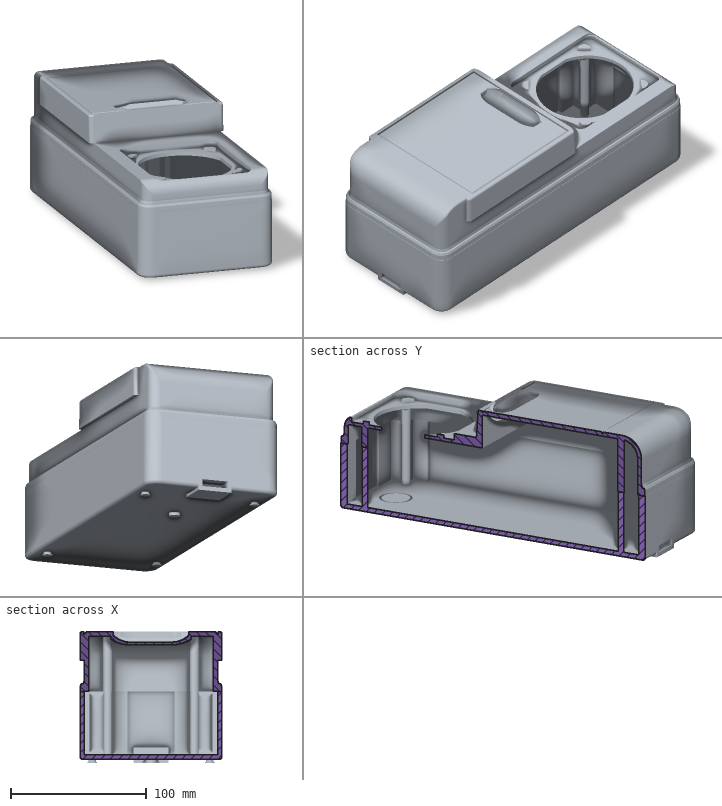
import cadquery as cq
import math

LENGTH = 258.0
WIDTH = 105.0
CORNER_R = 10.3
WALL = 3.5

BASE_BOTTOM = 2.3
FLOOR_TOP = 6.2
PARTING = 52.6
RIM_SIDE_TOP = 56.8
SHELF = 58.5
SHELF_BAND_TOP = 60.6
DECK = 75.3
TOP = 96.8
HANDLE_TOP = 100.0

BASE_EDGE_R = 2.5
TAB_LENGTH = 24.5
TAB_WIDTH = 26.0
TAB_TOP = 5.0
SLOT_WIDTH = 20.0
SLOT_BOTTOM = 3.0
SLOT_HEIGHT = 5.2
SLOT_DEPTH = 13.0
SLOT_WALL = 3.0
FOOT_X = 98.5
FOOT_Y = 43.3
FOOT_R = 3.5
FOOT_NECK_R = 2.8
FOOT_FLANGE = 0.8
STUD_X = -47.2
STUD_R = 4.0
PILLAR_X = 110.0
PILLAR_Y = 35.0
SIDE_RIB_START = 97.8
SIDE_RIB_THICKNESS = 3.5
END_RIB_START = 17.3
END_RIB_THICKNESS = 2.3
POST_X = 108.4
POST_Y = 32.0
POST_R = 3.0
COVER_POST_R = 3.4
RING_X = 99.0
RING_OUTER_R = 12.5
RING_INNER_R = 10.5
RING_DEPTH = 1.0

RIM_INSET = 0.3
COVER_INSET = 3.0
SHELF_BAND = 0.8
BACK_ROUND_R = 16.5
FRONT_ROUND_R = 10.3
TOP_EDGE_R = 1.5
LOW_CEILING = 67.5
HEAD_FRONT_TOP = 12.6
HEAD_FRONT_BOTTOM = 14.2
FLARE_START = -100.0
FLARE_END = -96.8
FLARE_SHOULDER = 50.3
HEAD_CORNER_R = 3.0

PANEL_BACK = -93.1
PANEL_FRONT = 9.0
PANEL_WIDTH = 98.5
GROOVE_DEPTH = 1.5
GROOVE_ANGLE = 45

SCOOP_X = -2.5
SCOOP_R = 8.0
SCOOP_END_R = 3.75
SCOOP_STRAIGHT = 15.1
SCOOP_HALF = 27.5
SCOOP_SHELL = 2.3
RIDGE_BACK = 1.3
RIDGE_FRONT = 7.5
RIDGE_HALF = 28.6
RIDGE_PEAK = 5.0
RIDGE_TOP_HALF = 17.8

RECESS_BACK = 33.0
RECESS_FRONT = 119.2
LEDGE_FRONT = 120.7
LEDGE_Z = 73.8
RECESS_WIDTH = 75.5
RECESS_R = 6.2
RECESS_FLOOR = 70.5
OPENING_X = 75.9
OPENING_LENGTH = 74.3
OPENING_WIDTH = 64.5
OPENING_R = 33.5
PAD_OFFSET_X = 29.5
PAD_OFFSET_Y = 29.5
PAD_R = 5.0
PAD_HEIGHT = 2.3

COVER_HALF_X = LENGTH / 2 - COVER_INSET
COVER_HALF_Y = WIDTH / 2 - COVER_INSET

ARC_MIDDLE = math.sqrt(0.5)

CORNERS = [(sx, sy) for sx in (-1, 1) for sy in (-1, 1)]


def box(x0, x1, y0, y1, z0, z1):
    """Box between two opposite corners."""
    return cq.Workplane("XY").box(x1 - x0, y1 - y0, z1 - z0, centered=False).translate((x0, y0, z0))


def corner_box(sx, sy, x0, x1, y0, y1, z0, z1):
    """Box in the +X +Y quarter, reflected into the quarter with signs sx, sy."""
    return box(*sorted((sx * x0, sx * x1)), *sorted((sy * y0, sy * y1)), z0, z1)


def cylinder(x, y, radius, z0, z1):
    return cq.Workplane("XY", origin=(x, y, z0)).circle(radius).extrude(z1 - z0)


def rounded_block(inset, z0, z1):
    """Block with the housing's plan outline, moved inwards by inset."""
    block = cq.Workplane("XY", origin=(0, 0, z0)).rect(LENGTH - 2 * inset, WIDTH - 2 * inset)
    return block.extrude(z1 - z0).edges("|Z").fillet(CORNER_R - inset)


def sloped_band(inset_bottom, inset_top, z0, z1):
    """Band of the plan outline that narrows upwards."""
    taper = math.degrees(math.atan2(inset_top - inset_bottom, z1 - z0))
    plan = cq.Sketch().rect(LENGTH - 2 * inset_bottom, WIDTH - 2 * inset_bottom)
    plan = plan.vertices().fillet(CORNER_R - inset_bottom)
    return cq.Workplane("XY", origin=(0, 0, z0)).placeSketch(plan).extrude(z1 - z0, taper=taper)


def base_foot(x, y):
    flange = cylinder(x, y, FOOT_R, 0, FOOT_FLANGE)
    neck = cylinder(x, y, FOOT_NECK_R, FOOT_FLANGE, BASE_BOTTOM)
    return flange.union(neck)


def corner_supports(sx, sy):
    """Corner pillar with a rib along each wall, and the free-standing screw post."""
    inner_x = LENGTH / 2 - WALL
    inner_y = WIDTH / 2 - WALL
    wall_x = LENGTH / 2 - WALL / 2
    wall_y = WIDTH / 2 - WALL / 2
    heights = (BASE_BOTTOM + BASE_EDGE_R, PARTING)
    pillar = corner_box(sx, sy, PILLAR_X, inner_x, PILLAR_Y, inner_y, *heights)
    side_rib = corner_box(sx, sy, SIDE_RIB_START, PILLAR_X, inner_y - SIDE_RIB_THICKNESS, wall_y, *heights)
    end_rib = corner_box(sx, sy, inner_x - END_RIB_THICKNESS, wall_x, END_RIB_START, PILLAR_Y, *heights)
    post = cylinder(sx * POST_X, sy * POST_Y, POST_R, *heights)
    return pillar.union(side_rib).union(end_rib).union(post)


def make_base():
    outer = rounded_block(0, BASE_BOTTOM, PARTING).faces("<Z").edges().fillet(BASE_EDGE_R)
    base = outer.cut(rounded_block(WALL, FLOOR_TOP, PARTING))
    for sx, sy in CORNERS:
        base = base.union(corner_supports(sx, sy).intersect(outer))
        base = base.union(base_foot(sx * FOOT_X, sy * FOOT_Y))
    base = base.union(cylinder(STUD_X, 0, STUD_R, 0, BASE_BOTTOM))

    back = -LENGTH / 2
    base = base.union(box(back, back + TAB_LENGTH, -TAB_WIDTH / 2, TAB_WIDTH / 2, 0, TAB_TOP))
    slot_top = SLOT_BOTTOM + SLOT_HEIGHT
    pocket_end = back + SLOT_DEPTH + SLOT_WALL
    pocket_top = slot_top + SLOT_WALL
    base = base.union(box(back + WALL, pocket_end, -TAB_WIDTH / 2, TAB_WIDTH / 2, FLOOR_TOP, pocket_top))
    base = base.cut(box(back, back + SLOT_DEPTH, -SLOT_WIDTH / 2, SLOT_WIDTH / 2, SLOT_BOTTOM, slot_top))

    ring = cq.Workplane("XY", origin=(RING_X, 0, FLOOR_TOP)).circle(RING_OUTER_R).circle(RING_INNER_R)
    return base.cut(ring.extrude(-RING_DEPTH))


def cover_shell():
    """Stepped cover with a raised head at the back, open at the bottom."""
    back_x = -COVER_HALF_X + BACK_ROUND_R
    back_z = TOP - BACK_ROUND_R
    front_x = COVER_HALF_X - FRONT_ROUND_R
    front_z = DECK - FRONT_ROUND_R
    profile = (
        cq.Workplane("XZ")
        .moveTo(-COVER_HALF_X, SHELF)
        .lineTo(-COVER_HALF_X, back_z)
        .threePointArc(
            (back_x - BACK_ROUND_R * ARC_MIDDLE, back_z + BACK_ROUND_R * ARC_MIDDLE), (back_x, TOP)
        )
        .lineTo(HEAD_FRONT_TOP, TOP)
        .lineTo(HEAD_FRONT_BOTTOM, DECK)
        .lineTo(front_x, DECK)
        .threePointArc(
            (front_x + FRONT_ROUND_R * ARC_MIDDLE, front_z + FRONT_ROUND_R * ARC_MIDDLE),
            (COVER_HALF_X, front_z),
        )
        .lineTo(COVER_HALF_X, SHELF)
        .close()
        .extrude(WIDTH / 2, both=True)
    )
    upper = rounded_block(COVER_INSET, SHELF, TOP).intersect(profile)
    upper = upper.faces(">Z").edges("|X").fillet(TOP_EDGE_R)

    rim = rounded_block(RIM_INSET, PARTING, RIM_SIDE_TOP)
    rim = rim.union(sloped_band(RIM_INSET, RIM_INSET + SHELF_BAND, RIM_SIDE_TOP, SHELF))
    root = sloped_band(COVER_INSET - SHELF_BAND, COVER_INSET, SHELF, SHELF_BAND_TOP)
    return rim.union(root).union(upper)


def head_block():
    """Wide block around the lid: flared at the back, sloped at the front."""
    half = WIDTH / 2
    flare_mid_x = FLARE_END + (FLARE_START - FLARE_END) * ARC_MIDDLE
    flare_mid_y = FLARE_SHOULDER + (half - FLARE_SHOULDER) * ARC_MIDDLE
    plan = (
        cq.Workplane("XY", origin=(0, 0, DECK))
        .moveTo(FLARE_START, -COVER_HALF_Y)
        .lineTo(FLARE_START, -FLARE_SHOULDER)
        .threePointArc((flare_mid_x, -flare_mid_y), (FLARE_END, -half))
        .lineTo(HEAD_FRONT_BOTTOM, -half)
        .lineTo(HEAD_FRONT_BOTTOM, half)
        .lineTo(FLARE_END, half)
        .threePointArc((flare_mid_x, flare_mid_y), (FLARE_START, FLARE_SHOULDER))
        .lineTo(FLARE_START, COVER_HALF_Y)
        .close()
        .extrude(TOP - DECK)
    )
    slope = (
        cq.Workplane("XZ")
        .polyline([
            (FLARE_START, DECK), (HEAD_FRONT_BOTTOM, DECK), (HEAD_FRONT_TOP, TOP), (FLARE_START, TOP)
        ])
        .close()
        .extrude(half, both=True)
    )
    head = plan.intersect(slope)
    front_corners = cq.selectors.BoxSelector((0, -WIDTH, DECK), (LENGTH, WIDTH, TOP))
    head = head.edges("not(|X or |Y)").edges(front_corners).fillet(HEAD_CORNER_R)
    return head.faces(">Z").edges("not(<X)").fillet(TOP_EDGE_R)


def cover_cavity():
    low = rounded_block(COVER_INSET + WALL, PARTING, LOW_CEILING)
    high = rounded_block(COVER_INSET + WALL, PARTING, TOP - WALL)
    head_limit = box(-COVER_HALF_X + WALL, HEAD_FRONT_TOP - WALL, -WIDTH, WIDTH, 0, TOP - WALL)
    head_limit = head_limit.faces("<X").edges(">Z").fillet(BACK_ROUND_R - WALL)
    return low.union(high.intersect(head_limit))


def panel_groove():
    """Groove with a straight outer wall and a sloped panel edge."""
    length = PANEL_FRONT - PANEL_BACK
    centre = (PANEL_BACK + PANEL_FRONT) / 2
    bottom = cq.Workplane("XY", origin=(centre, 0, TOP - GROOVE_DEPTH))
    surround = bottom.rect(length, PANEL_WIDTH).extrude(GROOVE_DEPTH)
    panel = bottom.rect(length, PANEL_WIDTH).extrude(GROOVE_DEPTH, taper=GROOVE_ANGLE)
    return surround.cut(panel)


def finger_scoop(extra=0.0):
    """Barrel along Y with domed, flat-tipped ends; extra makes it thicker all round."""
    drop = SCOOP_R - SCOOP_END_R
    run = SCOOP_HALF + extra - SCOOP_STRAIGHT
    dome_r = (run ** 2 + drop ** 2) / (2 * drop)
    mid_x = SCOOP_R + extra - dome_r + math.sqrt(dome_r ** 2 - (run / 2) ** 2)
    mid_y = SCOOP_STRAIGHT + run / 2
    return (
        cq.Workplane("XY", origin=(SCOOP_X, 0, TOP))
        .moveTo(0, -SCOOP_HALF - extra)
        .lineTo(SCOOP_END_R + extra, -SCOOP_HALF - extra)
        .threePointArc((mid_x, -mid_y), (SCOOP_R + extra, -SCOOP_STRAIGHT))
        .lineTo(SCOOP_R + extra, SCOOP_STRAIGHT)
        .threePointArc((mid_x, mid_y), (SCOOP_END_R + extra, SCOOP_HALF + extra))
        .lineTo(0, SCOOP_HALF + extra)
        .close()
        .revolve(360, (0, 0, 0), (0, 1, 0))
    )


def handle_ridge():
    """Sloped ridge in front of the scoop, curved back at both ends."""
    mid_x = RIDGE_BACK + (RIDGE_FRONT - RIDGE_BACK) * ARC_MIDDLE
    mid_y = SCOOP_STRAIGHT + (RIDGE_HALF - SCOOP_STRAIGHT) * ARC_MIDDLE
    plan = (
        cq.Workplane("XY", origin=(0, 0, TOP))
        .moveTo(RIDGE_BACK, -RIDGE_HALF)
        .threePointArc((mid_x, -mid_y), (RIDGE_FRONT, -SCOOP_STRAIGHT))
        .lineTo(RIDGE_FRONT, SCOOP_STRAIGHT)
        .threePointArc((mid_x, mid_y), (RIDGE_BACK, RIDGE_HALF))
        .close()
        .extrude(HANDLE_TOP - TOP)
    )
    ends = (
        cq.Workplane("YZ")
        .polyline([
            (-RIDGE_HALF, TOP), (RIDGE_HALF, TOP), (RIDGE_TOP_HALF, HANDLE_TOP), (-RIDGE_TOP_HALF, HANDLE_TOP)
        ])
        .close()
        .extrude(RIDGE_FRONT)
    )
    front = (
        cq.Workplane("XZ")
        .polyline([
            (RIDGE_BACK, TOP), (RIDGE_FRONT, TOP), (RIDGE_PEAK, HANDLE_TOP), (RIDGE_BACK, HANDLE_TOP)
        ])
        .close()
        .extrude(RIDGE_HALF, both=True)
    )
    return plan.intersect(ends).intersect(front)


def recess_block(front, floor):
    """Rounded pocket from the deck down to floor."""
    block = box(RECESS_BACK, front, -RECESS_WIDTH / 2, RECESS_WIDTH / 2, floor, DECK)
    return block.edges("|Z").fillet(RECESS_R)


def socket_recess():
    """Recess with a shallow ledge along its front edge."""
    return recess_block(RECESS_FRONT, RECESS_FLOOR).union(recess_block(LEDGE_FRONT, LEDGE_Z))


def socket_opening():
    """Opening with two round ends and two flats, through the recess floor."""
    end_offset = OPENING_LENGTH / 2 - OPENING_R
    middle = box(
        OPENING_X - end_offset, OPENING_X + end_offset, -OPENING_R, OPENING_R, LOW_CEILING, DECK
    )
    for side in (-1, 1):
        middle = middle.union(cylinder(OPENING_X + side * end_offset, 0, OPENING_R, LOW_CEILING, DECK))
    return middle.intersect(box(0, LENGTH, -OPENING_WIDTH / 2, OPENING_WIDTH / 2, 0, TOP))


def socket_pad(sx, sy):
    """Half-round pad whose flat side faces the opening."""
    angle = math.degrees(math.atan2(sy, sx))
    half = box(0, PAD_R, -PAD_R, PAD_R, 0, PAD_HEIGHT)
    pad = cylinder(0, 0, PAD_R, 0, PAD_HEIGHT).intersect(half).rotate((0, 0, 0), (0, 0, 1), angle)
    return pad.translate((OPENING_X + sx * PAD_OFFSET_X, sy * PAD_OFFSET_Y, RECESS_FLOOR))


def make_cover():
    cover = cover_shell().union(head_block()).cut(cover_cavity())

    below_panel = box(-LENGTH, LENGTH, -WIDTH, WIDTH, 0, TOP - GROOVE_DEPTH)
    scoop_wall = finger_scoop(SCOOP_SHELL).intersect(below_panel)
    cover = cover.union(scoop_wall).cut(panel_groove())
    cover = cover.union(handle_ridge()).cut(finger_scoop())

    cover = cover.cut(socket_recess()).cut(socket_opening())
    for sx, sy in CORNERS:
        cover = cover.union(socket_pad(sx, sy))

    for sx, sy in CORNERS:
        ceiling = LOW_CEILING if sx > 0 else TOP - WALL
        cover = cover.union(cylinder(sx * POST_X, sy * POST_Y, COVER_POST_R, PARTING, ceiling))
    return cover


base = make_base()
cover = make_cover()

result = cq.Compound.makeCompound([base.val(), cover.val()])